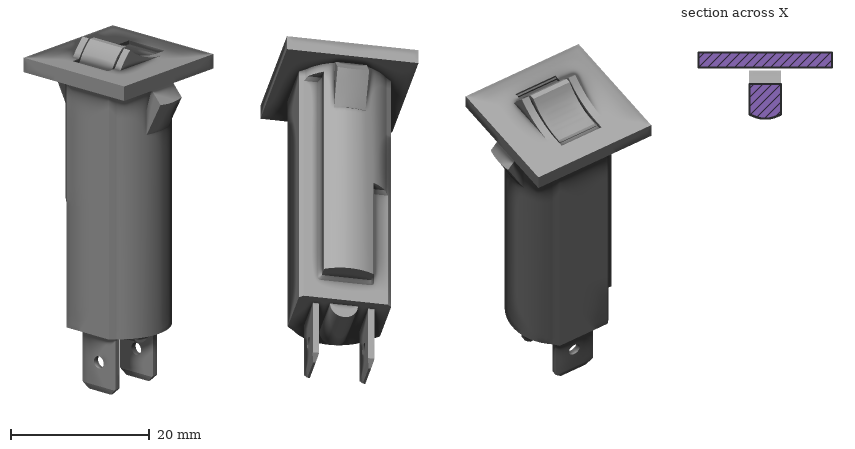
import cadquery as cq

body_bottom = 9.45
plate_bottom = 47.75
plate_top = 49.95
rocker_top = 52.5

plate_side = 19.3
opening_half_x = 3.4
opening_back_y = 6.15
ledge_width = 0.3
ledge_depth = 0.3
well_depth = 0.6

body_center_x = 0.05
body_half_x = 7.75
body_half_y = 6.8
flat_half_x = 4.1
chamfer_half_x = 4.85
chamfer_y = 5.95

panel_base_x = -4.55
panel_half_y = 3.6
panel_bottom = 12.95
front_recess_top = 28.45
back_recess_top = 46.4
panel_bevel = 0.5

clip_half_y = 2.3
clip_tip_radius = 10.3
clip_tip_z = 45.15
clip_top_x = 8.4
clip_top_z = 47.25
clip_inner_x = 7.1
clip_inner_z = 42.75
clip_bottom_z = 40.1

rocker_half_x = 3.1
ear_outer_x = 4.55
crest_y = -2.6
crest_back_y = -1.85
rocker_front_y = -5.05
rocker_back_y = 5.1
rocker_back_z = 49.45
lip_y = 4.8
lip_z = 49.7
saddle_y = 4.0
saddle_z = 49.75
rocker_back_mid = (0.8, 50.5)
rocker_front_mid = (-4.15, 50.95)
ear_front_y = -4.7
ear_back_y = 4.15
ear_back_mid = (0.5, 50.65)
ear_front_mid = (-4.05, 50.95)

blade_center_x = 0.2
blade_width = 6.35
blade_inner_y = 3.6
blade_thickness = 0.9
blade_hole_z = 4.5
blade_hole_diameter = 1.85
blade_corner = 1.05
blade_tip_height = 0.9
blade_tip_bevel = 0.25

rib_radius = 2.05
rib_start_x = -3.25
rib_end_x = 4.55


def box(x0, x1, y0, y1, z0, z1):
    """Box between opposite corners."""
    return cq.Workplane("XY").box(x1 - x0, y1 - y0, z1 - z0, centered=False).translate((x0, y0, z0))


def make_full_body():
    """Prism with bulged sides in X and chamfered flats at the front and back."""
    return (
        cq.Workplane("XY", origin=(body_center_x, 0, body_bottom))
        .moveTo(flat_half_x, -body_half_y)
        .lineTo(chamfer_half_x, -chamfer_y)
        .threePointArc((body_half_x, 0), (chamfer_half_x, chamfer_y))
        .lineTo(flat_half_x, body_half_y)
        .lineTo(-flat_half_x, body_half_y)
        .lineTo(-chamfer_half_x, chamfer_y)
        .threePointArc((-body_half_x, 0), (-chamfer_half_x, -chamfer_y))
        .lineTo(-flat_half_x, -body_half_y)
        .close()
        .extrude(plate_bottom - body_bottom)
    )


def make_body():
    """Body recessed on the -X side around a bevelled, raised panel."""
    full_body = make_full_body()
    reach = 2 * body_half_x
    core = full_body.intersect(box(panel_base_x, reach, -reach, reach, 0, rocker_top))
    outline = [
        (-panel_half_y, panel_bottom),
        (panel_half_y, panel_bottom),
        (panel_half_y, back_recess_top),
        (reach, back_recess_top),
        (reach, rocker_top),
        (-reach, rocker_top),
        (-reach, front_recess_top),
        (-panel_half_y, front_recess_top),
    ]
    start = cq.Workplane("YZ", origin=(panel_base_x - panel_bevel, 0, 0))
    panel = start.polyline(outline).close().extrude(-reach)
    bevel = start.polyline(outline).close().extrude(panel_bevel, taper=-45)
    return core.union(full_body.intersect(panel.union(bevel)))


def make_clips():
    """Pair of wedges with conical outer faces, one on each side in X."""
    cone_slope = (clip_tip_radius - body_half_x) / (clip_tip_z - clip_bottom_z)
    cone_top_radius = clip_tip_radius + cone_slope * (clip_top_z - clip_tip_z)
    cone = (
        cq.Workplane("XZ")
        .polyline([
            (0, clip_bottom_z),
            (body_half_x, clip_bottom_z),
            (cone_top_radius, clip_top_z),
            (0, clip_top_z),
        ])
        .close()
        .revolve(360, (0, 0, 0), (0, 1, 0))
    )
    wedge = (
        cq.Workplane("XZ")
        .polyline([
            (clip_inner_x, clip_bottom_z),
            (clip_tip_radius, clip_bottom_z),
            (clip_tip_radius, clip_tip_z),
            (clip_top_x, clip_top_z),
            (clip_inner_x, clip_inner_z),
        ])
        .close()
        .extrude(clip_half_y, both=True)
    )
    clip = wedge.intersect(cone)
    return clip.union(clip.mirror("YZ"))


def make_plate():
    """Square bezel with a rocker well that has a shallow ledge at the front."""
    half = plate_side / 2
    plate = box(-half, half, -half, half, plate_bottom, plate_top)
    front_y = -opening_back_y
    well = box(
        -opening_half_x, opening_half_x, front_y + ledge_width, opening_back_y, plate_top - well_depth, plate_top
    )
    ledge = box(
        -opening_half_x, opening_half_x, front_y, front_y + ledge_width, plate_top - ledge_depth, plate_top
    )
    return plate.cut(well).cut(ledge)


def make_rocker():
    """Central rocker with a concave back, a flat crest and a rounded front."""
    return (
        cq.Workplane("YZ", origin=(-rocker_half_x, 0, 0))
        .moveTo(rocker_front_y, plate_bottom)
        .lineTo(rocker_back_y, plate_bottom)
        .lineTo(rocker_back_y, rocker_back_z)
        .lineTo(lip_y, lip_z)
        .lineTo(saddle_y, saddle_z)
        .threePointArc(rocker_back_mid, (crest_back_y, rocker_top))
        .lineTo(crest_y, rocker_top)
        .threePointArc(rocker_front_mid, (rocker_front_y, plate_top - well_depth))
        .close()
        .extrude(2 * rocker_half_x)
    )


def make_ears():
    """Rocker side walls standing on the bezel, one on each side in X."""
    ear = (
        cq.Workplane("YZ", origin=(opening_half_x, 0, 0))
        .moveTo(ear_front_y, plate_bottom)
        .lineTo(ear_back_y, plate_bottom)
        .lineTo(ear_back_y, plate_top)
        .threePointArc(ear_back_mid, (crest_y, rocker_top))
        .threePointArc(ear_front_mid, (ear_front_y, plate_top))
        .close()
        .extrude(ear_outer_x - opening_half_x)
    )
    return ear.union(ear.mirror("YZ"))


def make_blade(side):
    """Terminal with a hole, clipped corners and a thinned tip; side is +1 or -1 in Y."""
    center_y = side * (blade_inner_y + blade_thickness / 2)
    half_thickness = blade_thickness / 2
    tip_half = half_thickness - blade_tip_bevel
    blade = (
        cq.Workplane("XZ")
        .center(blade_center_x, body_bottom / 2)
        .rect(blade_width, body_bottom)
        .extrude(half_thickness, both=True)
        .edges("|Y and <Z")
        .chamfer(blade_corner)
    )
    side_outline = (
        cq.Workplane("YZ")
        .polyline([
            (-tip_half, 0),
            (tip_half, 0),
            (half_thickness, blade_tip_height),
            (half_thickness, body_bottom),
            (-half_thickness, body_bottom),
            (-half_thickness, blade_tip_height),
        ])
        .close()
        .extrude(blade_width, both=True)
    )
    hole = (
        cq.Workplane("XZ")
        .center(blade_center_x, blade_hole_z)
        .circle(blade_hole_diameter / 2)
        .extrude(blade_thickness, both=True)
    )
    return blade.intersect(side_outline).cut(hole).translate((0, center_y, 0))


def make_rib():
    """Half-round rib along X; its upper half lies inside the body."""
    return (
        cq.Workplane("YZ", origin=(rib_start_x, 0, 0))
        .center(0, body_bottom)
        .circle(rib_radius)
        .extrude(rib_end_x - rib_start_x)
    )


result = make_body().union(make_plate())
for feature in (make_clips(), make_rocker(), make_ears(), make_rib(), make_blade(1), make_blade(-1)):
    result = result.union(feature)